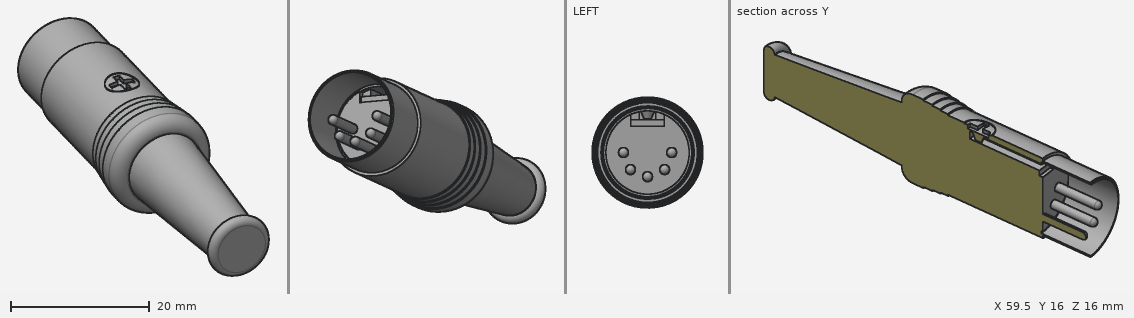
import cadquery as cq
import math


total_length = 59.5
shell_radius = 6.7
shell_length = 8.75
rim_chamfer = 0.2
bore_radius = 6.35
insulator_radius = 6.0
insulator_rise = 0.3
insulator_face = shell_length
bore_floor = insulator_face + insulator_rise

body_radius = 7.2
collar_diameter = 16.0
collar_radius = collar_diameter / 2
ring_positions = (26.0, 27.35, 28.85, 30.45)
ring_step = (collar_radius - body_radius) / len(ring_positions)
collar_fillet = 2.0
collar_end = 34.45

sleeve_start_radius = 5.7
sleeve_end_radius = 3.85
bead_radius = 1.0
bead_centre_radius = 3.8
bead_start = total_length - 2 * bead_radius

pin_radius = 0.7
pin_circle_diameter = 6.95
pin_circle_radius = pin_circle_diameter / 2
pin_tip = 0.9
pin_angles = (0, 45, 90, 135, 180)

notch_width = 4.9
notch_bottom = 3.8
ledge_depth = 0.6
notch_depth = 1.2
passage_width = 2.4
passage_bottom = 4.75
passage_end = 22.0

screw_x = 20.5
screw_head_radius = 2.5
screw_recess = 0.1
cross_length = 3.7
cross_width = 0.95
cross_floor_z = 6.4
screw_tip_z = 4.9
screw_tip_radius = 0.55
screw_shank_radius = 1.0


def make_housing():
    """Revolve the whole outer outline about the X axis."""
    outline = (
        cq.Workplane("XY")
        .lineTo(0, shell_radius - rim_chamfer)
        .lineTo(rim_chamfer, shell_radius)
        .lineTo(shell_length, shell_radius)
        .lineTo(shell_length, body_radius)
    )
    for index, ring_x in enumerate(ring_positions):
        radius = body_radius + index * ring_step
        outline = outline.lineTo(ring_x, radius).lineTo(ring_x, radius + ring_step)
    fillet_mid = collar_fillet * math.sqrt(0.5)
    outline = (
        outline.lineTo(collar_end - collar_fillet, collar_radius)
        .threePointArc(
            (collar_end - collar_fillet + fillet_mid, collar_radius - collar_fillet + fillet_mid),
            (collar_end, collar_radius - collar_fillet),
        )
        .lineTo(collar_end, sleeve_start_radius)
        .lineTo(bead_start, sleeve_end_radius)
        .lineTo(bead_start, bead_centre_radius)
        .threePointArc(
            (bead_start + bead_radius, bead_centre_radius + bead_radius),
            (total_length, bead_centre_radius),
        )
        .lineTo(total_length, 0)
        .close()
    )
    return outline.revolve(360, (0, 0, 0), (1, 0, 0))


def cylinder_along_x(radius, start, end):
    return cq.Workplane("YZ", origin=(start, 0, 0)).circle(radius).extrude(end - start)


def cut_bore(housing):
    """Hollow the shell, leaving the insulator as a low disc on the floor."""
    bore = cylinder_along_x(bore_radius, 0, bore_floor)
    insulator = cylinder_along_x(insulator_radius, insulator_face, bore_floor)
    return housing.cut(bore.cut(insulator))


def cut_key_notch(housing):
    """Cut the stepped key notch and the narrow passage that leads to the screw."""
    def slot(width, bottom, end):
        height = insulator_radius - bottom
        length = end - insulator_face
        box = cq.Workplane("XY").box(length, width, height, centered=(False, True, False))
        return box.translate((insulator_face, 0, bottom))

    ledge = slot(notch_width, notch_bottom, insulator_face + ledge_depth)
    notch = slot(notch_width, passage_bottom, insulator_face + notch_depth)
    passage = slot(passage_width, passage_bottom, passage_end)
    limit = cylinder_along_x(insulator_radius, insulator_face, passage_end)
    return housing.cut(ledge.union(notch).union(passage).intersect(limit))


def add_screw(housing):
    """Sink the screw head into the body and hang its tapered tip in the passage."""
    axis_plane = cq.Workplane("XY", origin=(screw_x, 0, 0))
    head_end = screw_x + screw_head_radius
    head = cylinder_along_x(body_radius - screw_recess, 0, head_end)
    recess = axis_plane.circle(screw_head_radius).extrude(body_radius).cut(head)
    housing = housing.cut(recess)
    cross_plane = axis_plane.workplane(offset=cross_floor_z)
    for length, width in ((cross_length, cross_width), (cross_width, cross_length)):
        housing = housing.cut(cross_plane.rect(length, width).extrude(body_radius - cross_floor_z))
    tip = (
        cq.Workplane("XY", origin=(screw_x, 0, screw_tip_z))
        .circle(screw_tip_radius)
        .workplane(offset=insulator_radius - screw_tip_z)
        .circle(screw_shank_radius)
        .loft()
    )
    return housing.union(tip)


def add_pins(housing):
    """Add round-nosed pins on the lower half of the pin circle."""
    nose_centre = pin_tip + pin_radius
    nose = cq.Workplane("XY").sphere(pin_radius).translate((nose_centre, 0, 0))
    pin = cylinder_along_x(pin_radius, nose_centre, bore_floor).union(nose)
    for angle in pin_angles:
        y = pin_circle_radius * math.cos(math.radians(angle))
        z = -pin_circle_radius * math.sin(math.radians(angle))
        housing = housing.union(pin.translate((0, y, z)))
    return housing


result = add_pins(add_screw(cut_key_notch(cut_bore(make_housing()))))